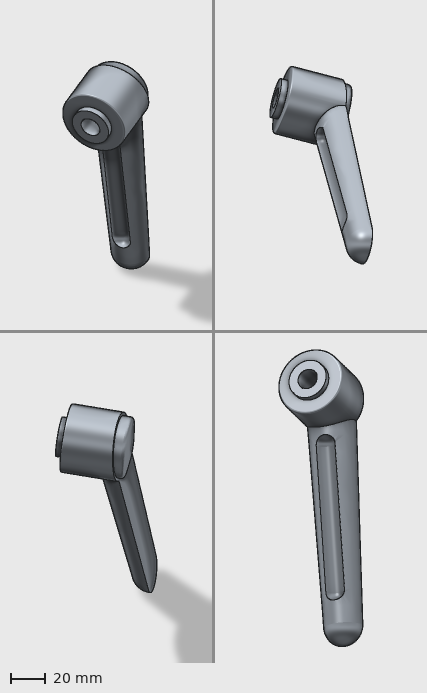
import cadquery as cq
import math


overall_height = 165.0

hub_radius = 20.0
hub_edge_round = 1.2
stem_radius = 11.5
stem_length = 4.0

hole_radius = 6.0
hole_depth = 24.8
drill_point_angle = 118.0

cap_radius = 18.0
cap_rim_y = 40.5
cap_apex_y = 42.5
cap_edge_round = 2.1
cap_root_y = 24.8

tilt = math.radians(7.9)
back_y = 35.8
handle_root_radius = 15.0
handle_tip_radius = 11.7
tip_length = 10.9
tip_ball_radius = (handle_tip_radius**2 + tip_length**2) / (2 * tip_length)

ball_centre_drop = overall_height - hub_radius - tip_ball_radius
handle_length = ball_centre_drop / math.cos(tilt) + tip_ball_radius - tip_length

groove_radius = 5.8
groove_start = 28.7
groove_end = 115.8

back_plane = cq.Plane(
    origin=(0, back_y, 0),
    xDir=(-1, 0, 0),
    normal=(0, math.cos(tilt), math.sin(tilt)),
)
axis_start = (0, 0)
axis_end = (0, 1)


def cone_radius(distance):
    """Handle radius at a distance from the hub axis along the back plane."""
    taper = (handle_root_radius - handle_tip_radius) / handle_length
    return handle_root_radius - taper * distance


def behind_back_plane():
    """Block filling the space behind the tilted back plane."""
    size = 495
    return cq.Workplane(back_plane).rect(size, size).extrude(size)


def make_hub():
    hub_length = cap_apex_y - stem_length
    front_face = cq.Workplane("XZ", origin=(0, stem_length, 0))
    drum = front_face.circle(hub_radius).extrude(-hub_length)
    return drum.faces("<Y").edges().fillet(hub_edge_round)


def make_handle():
    """Round tapered bar with a ball tip; its rear half is cut away later."""
    return (
        cq.Workplane(back_plane)
        .lineTo(handle_root_radius, 0)
        .lineTo(handle_tip_radius, -handle_length)
        .radiusArc((0, -handle_length - tip_length), tip_ball_radius)
        .close()
        .revolve(360, axis_start, axis_end)
    )


def make_groove():
    """Round-bottomed channel with ball ends, its axis level with the channel's edges."""
    ends = []
    for distance in (groove_start, groove_end):
        depth = math.sqrt(cone_radius(distance)**2 - groove_radius**2)
        ends.append(back_plane.toWorldCoords((0, -distance, -depth)))
    start, end = ends
    along = end - start
    length = along.Length
    sideways = cq.Vector(-1, 0, 0)
    toward_floor = along.cross(sideways)
    groove_plane = cq.Plane(origin=start, xDir=toward_floor, normal=sideways)
    return (
        cq.Workplane(groove_plane)
        .moveTo(0, -groove_radius)
        .radiusArc((groove_radius, 0), -groove_radius)
        .lineTo(groove_radius, length)
        .radiusArc((0, length + groove_radius), -groove_radius)
        .close()
        .revolve(360, axis_start, axis_end)
    )


def make_cap():
    dome_height = cap_apex_y - cap_rim_y
    dome_radius = (cap_radius**2 + dome_height**2) / (2 * dome_height)
    cap = (
        cq.Workplane("XY")
        .moveTo(0, cap_root_y)
        .lineTo(cap_radius, cap_root_y)
        .lineTo(cap_radius, cap_rim_y)
        .radiusArc((0, cap_apex_y), -dome_radius)
        .close()
        .revolve(360, axis_start, axis_end)
    )
    rim = cq.NearestToPointSelector((0, cap_rim_y, 0))
    return cap.edges(rim).fillet(cap_edge_round)


def make_stem():
    return cq.Workplane("XZ").circle(stem_radius).extrude(-cap_root_y)


def make_hole():
    point_length = hole_radius / math.tan(math.radians(drill_point_angle / 2))
    return (
        cq.Workplane("XY")
        .lineTo(hole_radius, 0)
        .lineTo(hole_radius, hole_depth)
        .lineTo(0, hole_depth + point_length)
        .close()
        .revolve(360, axis_start, axis_end)
    )


handle = make_handle().cut(make_groove())
body = make_hub().union(handle).cut(behind_back_plane())
result = body.union(make_cap()).union(make_stem()).cut(make_hole())